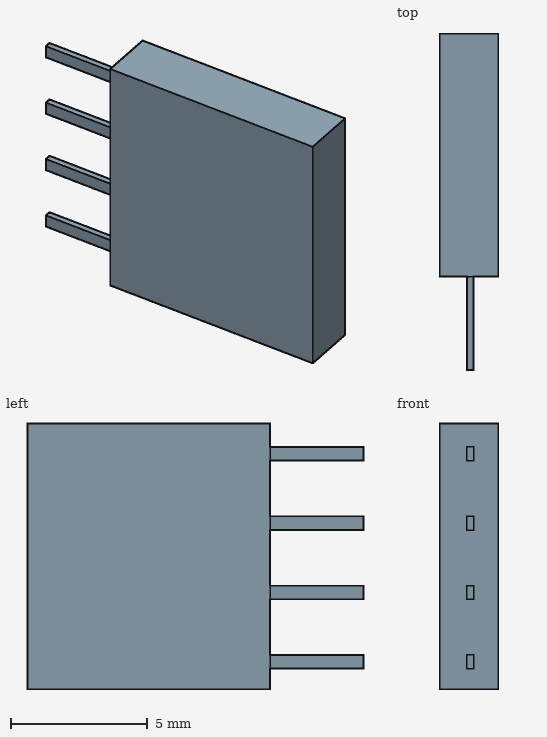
import cadquery as cq

body_thickness = 2.15
body_height = 9.75
overall_length = 12.32
body_length = 8.9

pin_count = 4
pin_pitch = 2.54
pin_thickness = 0.25
pin_height = 0.5
pin_length = overall_length - body_length
row_offset_x = 0.05
row_offset_z = -0.05

body = cq.Workplane("XY").box(body_thickness, body_length, body_height)


def make_pin(center_z):
    """Return one pin whose root touches the -Y face of the body."""
    center_y = -(body_length + pin_length) / 2
    pin = cq.Workplane("XY").box(pin_thickness, pin_length, pin_height)
    return pin.translate((row_offset_x, center_y, center_z))


result = body
for index in range(pin_count):
    steps_from_middle = index - (pin_count - 1) / 2
    result = result.union(make_pin(row_offset_z + steps_from_middle * pin_pitch))